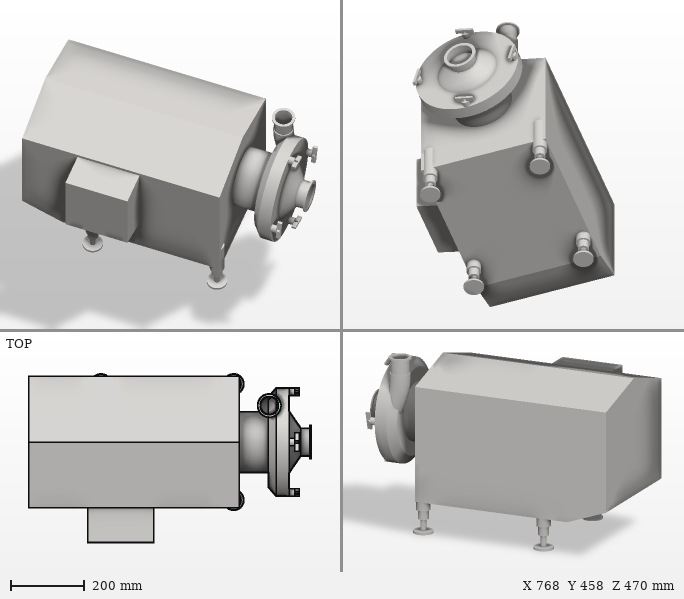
import cadquery as cq

HOUSING_LENGTH = 572.0
HOUSING_HALF_WIDTH = 179.0
HOUSING_BOTTOM_Z = 91.0
EAVE_Z = 416.0
RIDGE_Z = 465.0
REAR_BEVEL_LENGTH = 116.0
REAR_BEVEL_HEIGHT = 41.5

BOX_START_X = 160.5
BOX_LENGTH = 180.0
BOX_DEPTH = 94.0
BOX_TOP_Z = 408.0
BOX_FRONT_BOTTOM_Z = 220.0
BOX_WALL_BOTTOM_Z = 192.0

LEG_X_POSITIONS = (197.0, 557.0)
LEG_OFFSET_Y = 157.5
LEG_STEPS = (
    (55.0, 0.0, 7.0),
    (16.0, 7.0, 39.0),
    (30.0, 39.0, 65.0),
    (40.0, 65.0, 169.0),
)

AXIS_Z = 289.5
MOTOR_DIAMETER = 166.0
CASING_BACK_X = 651.0
CASING_RIM_X = 672.0
CASING_FRONT_X = 707.5
CASING_DIAMETER = 294.0
CASING_BACK_DIAMETER = 246.0
INLET_CONE_DIAMETER = 169.0
INLET_DIAMETER = 76.0
INLET_BORE_DIAMETER = 72.0
INLET_START_X = 739.0
INLET_END_X = 768.0
INLET_FLANGE_DIAMETER = 91.0
INLET_FLANGE_THICKNESS = 4.5

OUTLET_X = 654.0
OUTLET_Y = 99.0
OUTLET_TOP_Z = 470.0
OUTLET_DIAMETER = 51.0
OUTLET_BORE_DIAMETER = 48.0
OUTLET_FLANGE_DIAMETER = 64.0
OUTLET_FLANGE_THICKNESS = 4.5
SLEEVE_DIAMETER = 56.0
SLEEVE_TOP_Z = 424.0
BEND_START_Z = 412.0
BEND_RADIUS = 192.0
BEND_ANGLE = 31

STUD_COUNT = 4
STUD_DIAMETER = 21.0
STUD_LENGTH = 15.0
NUT_LENGTH = 12.0
WING_SPAN = 51.0
WING_THICKNESS = 7.0
NUT_SLOT_WIDTH = 7.0
NUT_SLOT_DEPTH = 9.0


def cylinder_z(diameter, bottom, top, x, y):
    return cq.Workplane("XY", origin=(x, y, bottom)).circle(diameter / 2).extrude(top - bottom)


def make_housing():
    gable = [
        (-HOUSING_HALF_WIDTH, HOUSING_BOTTOM_Z),
        (HOUSING_HALF_WIDTH, HOUSING_BOTTOM_Z),
        (HOUSING_HALF_WIDTH, EAVE_Z),
        (0, RIDGE_Z),
        (-HOUSING_HALF_WIDTH, EAVE_Z),
    ]
    bevel = [
        (0, HOUSING_BOTTOM_Z),
        (REAR_BEVEL_LENGTH, HOUSING_BOTTOM_Z),
        (0, HOUSING_BOTTOM_Z + REAR_BEVEL_HEIGHT),
    ]
    body = cq.Workplane("YZ").polyline(gable).close().extrude(HOUSING_LENGTH)
    corner = cq.Workplane("XZ").polyline(bevel).close().extrude(HOUSING_HALF_WIDTH, both=True)
    return body.cut(corner)


def make_control_box():
    wall_y = -HOUSING_HALF_WIDTH
    front_y = wall_y - BOX_DEPTH
    profile = [
        (wall_y, BOX_WALL_BOTTOM_Z),
        (wall_y, BOX_TOP_Z),
        (front_y, BOX_TOP_Z),
        (front_y, BOX_FRONT_BOTTOM_Z),
    ]
    return cq.Workplane("YZ", origin=(BOX_START_X, 0, 0)).polyline(profile).close().extrude(BOX_LENGTH)


def make_leg(x, y):
    leg = cq.Workplane("XY")
    for diameter, bottom, top in LEG_STEPS:
        leg = leg.union(cylinder_z(diameter, bottom, top, x, y))
    return leg


def make_pump():
    """Motor, casing and inlet as one turned body, with the inlet pipe bored to the cone."""
    flange_x = INLET_END_X - INLET_FLANGE_THICKNESS
    half_profile = [
        (HOUSING_LENGTH, 0),
        (HOUSING_LENGTH, MOTOR_DIAMETER / 2),
        (CASING_BACK_X, MOTOR_DIAMETER / 2),
        (CASING_BACK_X, CASING_BACK_DIAMETER / 2),
        (CASING_RIM_X, CASING_DIAMETER / 2),
        (CASING_FRONT_X, CASING_DIAMETER / 2),
        (CASING_FRONT_X, INLET_CONE_DIAMETER / 2),
        (INLET_START_X, INLET_DIAMETER / 2),
        (flange_x, INLET_DIAMETER / 2),
        (flange_x, INLET_FLANGE_DIAMETER / 2),
        (INLET_END_X, INLET_FLANGE_DIAMETER / 2),
        (INLET_END_X, INLET_BORE_DIAMETER / 2),
        (INLET_START_X, INLET_BORE_DIAMETER / 2),
        (INLET_START_X, 0),
    ]
    axis_plane = cq.Workplane("XZ", origin=(0, 0, AXIS_Z))
    return axis_plane.polyline(half_profile).close().revolve(360, (0, 0, 0), (1, 0, 0))


def bent_rod(diameter, top):
    """Rod on the outlet axis, vertical at the top, whose lower end bends toward +X into the casing."""
    bend_plane = cq.Workplane("XY", origin=(OUTLET_X, OUTLET_Y, BEND_START_Z))
    bend = bend_plane.circle(diameter / 2).revolve(BEND_ANGLE, (BEND_RADIUS, 8, 0), (BEND_RADIUS, 0, 0))
    return cylinder_z(diameter, BEND_START_Z, top, OUTLET_X, OUTLET_Y).union(bend)


def make_outlet():
    flange_z = OUTLET_TOP_Z - OUTLET_FLANGE_THICKNESS
    pipe = cylinder_z(OUTLET_DIAMETER, SLEEVE_TOP_Z, OUTLET_TOP_Z, OUTLET_X, OUTLET_Y)
    flange = cylinder_z(OUTLET_FLANGE_DIAMETER, flange_z, OUTLET_TOP_Z, OUTLET_X, OUTLET_Y)
    sleeve = bent_rod(SLEEVE_DIAMETER, SLEEVE_TOP_Z)
    bore = bent_rod(OUTLET_BORE_DIAMETER, OUTLET_TOP_Z)
    return sleeve.union(pipe).union(flange).cut(bore)


def make_stud():
    """Topmost stud, flush with the casing rim, with a slanted and slotted wing nut."""
    center_z = AXIS_Z + (CASING_DIAMETER - STUD_DIAMETER) / 2
    half_span = WING_SPAN / 2
    high = STUD_DIAMETER / 2
    inner = high - WING_THICKNESS
    wings = [(-half_span, high), (-half_span, inner), (half_span, -high), (half_span, -inner)]
    nut_x = CASING_FRONT_X + STUD_LENGTH
    stud = cq.Workplane("YZ", origin=(CASING_FRONT_X, 0, center_z))
    stud = stud.circle(STUD_DIAMETER / 2).extrude(STUD_LENGTH)
    nut_plane = cq.Workplane("YZ", origin=(nut_x, 0, center_z))
    nut = nut_plane.polyline(wings).close().extrude(NUT_LENGTH)
    slot = nut_plane.rect(NUT_SLOT_WIDTH, STUD_DIAMETER).extrude(NUT_SLOT_DEPTH)
    return stud.union(nut.cut(slot))


result = make_housing().union(make_control_box())
for leg_x in LEG_X_POSITIONS:
    for leg_y in (-LEG_OFFSET_Y, LEG_OFFSET_Y):
        result = result.union(make_leg(leg_x, leg_y))
result = result.union(make_outlet().union(make_pump()))
top_stud = make_stud()
for index in range(STUD_COUNT):
    turn = index * 360 / STUD_COUNT
    result = result.union(top_stud.rotate((0, 0, AXIS_Z), (1, 0, AXIS_Z), turn))